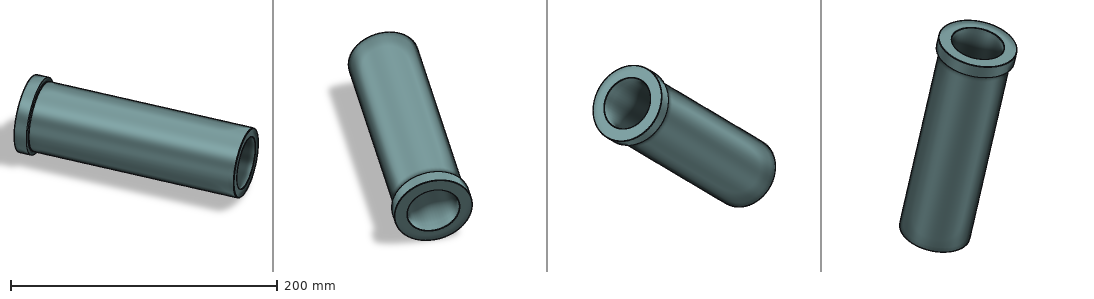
import cadquery as cq

length = 175.0
head_diameter = 60.0
body_diameter = 54.0
bore_diameter = 40.0

head_length = 10.0
head_chamfer = 0.4
groove_width = 1.0
groove_depth = 0.4

lead_length = 4.0
lead_depth = 0.09
end_chamfer = 0.5
bore_chamfer = 0.4

head_face = -length / 2
head_back = head_face + head_length
body_start = head_back + groove_width
end_face = length / 2
lead_start = end_face - lead_length

head_radius = head_diameter / 2
body_radius = body_diameter / 2
bore_radius = bore_diameter / 2
groove_radius = body_radius - groove_depth
lead_radius = body_radius - lead_depth

half_section = [
    (head_face, bore_radius + bore_chamfer),
    (head_face, head_radius - head_chamfer),
    (head_face + head_chamfer, head_radius),
    (head_back, head_radius),
    (head_back, groove_radius),
    (body_start, groove_radius),
    (body_start, body_radius),
    (lead_start, body_radius),
    (end_face - end_chamfer, lead_radius),
    (end_face, lead_radius - end_chamfer),
    (end_face, bore_radius + bore_chamfer),
    (end_face - bore_chamfer, bore_radius),
    (head_face + bore_chamfer, bore_radius),
]

result = cq.Workplane("XY").polyline(half_section).close().revolve(360, (0, 0, 0), (1, 0, 0))